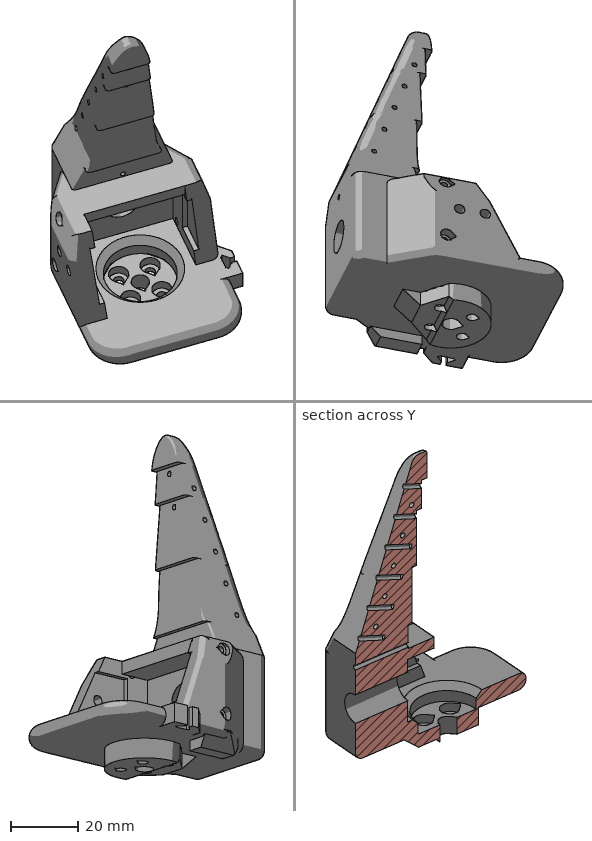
import cadquery as cq
import math

BASE_LENGTH = 65.2
BACK_HALF = 16.0
WIDE_HALF = 24.0
FLARE_START_X = 10.0
FLARE_END_X = 22.0
PLATE_T = 6.0
BODY_TOP = 32.0
EDGE_R = 3.0
PLATE_EDGE_R = 2.99
FLARE_R = 8.0
FRONT_R = 10.0

ROOF_FRONT_X = 30.0
ROOF_T = 4.0
CAVITY_BACK_X = 20.0
TAPER_START_Z = 23.3
TAPER_ANGLE = math.radians(15)
FRONT_WALL_TOP_X = 36.8
FRONT_WALL_FOOT_X = 49.8
REAR_WALL_TOP_X = ROOF_FRONT_X
REAR_WALL_FOOT_X = 39.4

TIP_Z = 99.33
SLOPE_START_Z = 38.3
SLOPE_ANGLE = math.radians(20)
FINGER_FLANK = [(12.0, 40.0), (9.7, 51.6), (8.1, 70.6), (6.5, 86.5), (4.3, 95.7)]
FINGER_ROOT_Y, FINGER_ROOT_Z = FINGER_FLANK[0]
STEPS = [(FINGER_ROOT_Z, 20.2), (60.0, 21.7), (79.5, 23.4), (89.5, 25.3), (TIP_Z, 27.4)]
STEP_EDGE_R = 1.0

PIN_D = 1.5
PIN_PITCH = 10.0
BACK_PIN_COUNT = 6
FIRST_BACK_PIN_Z = 42.9
SIDE_PIN_COUNT = 5
FIRST_SIDE_PIN_X = 7.8
FIRST_SIDE_PIN_Z = 44.7
LOW_PIN_Z = 33.2
BACK_PIN_DEPTH = 10.0

PORT_D = 10.0
PORT_Z = 18.5
WALL_HOLE_D = 3.2
WALL_HOLE_XS = (30.2, 38.2)
SCREW_D = 2.2
SCREW_HEAD_D = 4.0
SCREW_HEAD_DEPTH = 3.0
SCREW_ZS = (28.5, 8.1)
FRONT_SCREW_X = 26.3
REAR_SCREW_X = 23.1
SLOT_DEPTH = 1.6
SLOT_START_X = 28.0
SLOT_Z = (10.6, 27.0)
FRONT_SLOT_END_X = 47.5
REAR_SLOT_END_X = 38.3

POCKET_X = 35.0
BOSS_R = 12.0
BOSS_BOTTOM = -6.1
LEAD_BOTTOM = -4.8
LEAD_HALF = 4.5
LEAD_FACE_X = 24.1
LEAD_RAMP_X = 18.6
POCKET_R = 11.0
POCKET_TOP_R = 13.2
POCKET_FLOOR = 0.0
CENTER_HOLE_D = 5.4
MOUNT_HOLE_D = 3.2
MOUNT_HEAD_D = 6.0
MOUNT_HEAD_DEPTH = 3.0
MOUNT_OFFSET = 5.0

CLIP_Y = 28.0
CLIP_BACK_X = 34.0
CLIP_FRONT_X = 47.3
CLIP_ROOT_Y = 20.7
CLIP_SLOT_X = 41.3
CLIP_NECK_Y = 26.5
CLIP_NECK_HALF = 0.9
CLIP_CORNER = 0.6
CLIP_WIDE_HALF = 2.7
RAIL_BOTTOM = -3.2
RAIL_BOTTOM_Y = 21.0
RAIL_START_X = 14.9
RAIL_END_X = 31.0

BIG = 200.0

WALL_ENDS = (
    (FRONT_WALL_TOP_X, FRONT_WALL_FOOT_X, (-BIG, 0)),
    (REAR_WALL_TOP_X, REAR_WALL_FOOT_X, (0, BIG)),
)


def block(x, y, z):
    """Box from three (low, high) ranges."""
    return (
        cq.Workplane("XY")
        .box(x[1] - x[0], y[1] - y[0], z[1] - z[0], centered=False)
        .translate((x[0], y[0], z[0]))
    )


def xz_prism(points, y_low, y_high):
    """Polygon in XZ extruded from y_low to y_high."""
    plane = cq.Workplane("XZ", origin=(0, y_high, 0))
    return plane.polyline(points).close().extrude(y_high - y_low)


def mirrored(points):
    """Close a +Y half outline with its mirror image."""
    return points + [(u, -v) for u, v in reversed(points)]


def rod(start, direction, diameter, length):
    """Round pin used to cut a hole."""
    return cq.Workplane(
        cq.Solid.makeCylinder(diameter / 2, length, cq.Vector(*start), cq.Vector(*direction))
    )


def together(solids):
    """Gather separate cutting solids so that one cut removes them all."""
    return cq.Workplane(cq.Compound.makeCompound([solid.val() for solid in solids]))


def teardrop(plane, u, v, diameter, depth):
    """Round hole with a 45 degree point toward +X."""
    r = diameter / 2
    k = r / math.sqrt(2)
    return (
        plane.moveTo(u + k, v + k)
        .threePointArc((u - r, v), (u + k, v - k))
        .lineTo(u + r * math.sqrt(2), v)
        .close()
        .extrude(depth)
    )


def round_flare_corners(solid):
    """Round the vertical edges where the flare meets the wide sides."""
    near_corner = cq.selectors.BoxSelector((FLARE_END_X - 1, -BIG, -BIG), (FLARE_END_X + 1, BIG, BIG))
    return solid.edges("|Z").edges(near_corner).fillet(FLARE_R)


def base_prism(z_low, z_high):
    """Base plan with sharp corners, extruded between two heights."""
    plan = mirrored(
        [(0, BACK_HALF), (FLARE_START_X, BACK_HALF), (FLARE_END_X, WIDE_HALF), (BASE_LENGTH, WIDE_HALF)]
    )
    return cq.Workplane("XY", origin=(0, 0, z_low)).polyline(plan).close().extrude(z_high - z_low)


def make_plate():
    plate = base_prism(0, PLATE_T)
    plate = plate.edges("|Z and <X").fillet(EDGE_R)
    plate = plate.edges("|Z and >X").fillet(FRONT_R)
    plate = round_flare_corners(plate)
    return plate.faces("<Z or >Z").edges().fillet(PLATE_EDGE_R)


def make_back_block():
    back = block((0, CAVITY_BACK_X), (-BACK_HALF, BACK_HALF), (EDGE_R, BODY_TOP))
    return back.edges("|Z and <X").fillet(EDGE_R)


def make_side_body():
    """Flared housing with tapered flanks and sloped wall ends."""
    flare_slope = (WIDE_HALF - BACK_HALF) / (FLARE_END_X - FLARE_START_X)
    hidden_x = FLARE_START_X / 2
    hidden_y = BACK_HALF - flare_slope * (FLARE_START_X - hidden_x)
    plan = mirrored([(hidden_x, hidden_y), (FLARE_END_X, WIDE_HALF), (BASE_LENGTH, WIDE_HALF)])
    body = cq.Workplane("XY", origin=(0, 0, EDGE_R)).polyline(plan).close().extrude(BODY_TOP - EDGE_R)
    body = round_flare_corners(body)

    taper = (BODY_TOP - TAPER_START_Z) * math.tan(TAPER_ANGLE)
    section = [(WIDE_HALF, EDGE_R), (WIDE_HALF, TAPER_START_Z), (WIDE_HALF - taper, BODY_TOP)]
    section += [(-y, z) for y, z in reversed(section)]
    body = body.intersect(cq.Workplane("YZ").polyline(section).close().extrude(BASE_LENGTH))

    for top_x, foot_x, y_range in WALL_ENDS:
        slope = (foot_x - top_x) / (BODY_TOP - PLATE_T)
        beyond = [
            (top_x, BODY_TOP),
            (foot_x + slope * (PLATE_T - EDGE_R), EDGE_R),
            (BIG, EDGE_R),
            (BIG, BODY_TOP),
        ]
        body = body.cut(xz_prism(beyond, *y_range))
    return round_outer_edges(body)


def round_outer_edges(body):
    """Round the outer edges of the top and of both sloped wall ends."""
    chosen = []
    for top_x, _, y_range in WALL_ENDS:
        side = math.copysign(1, sum(y_range))
        outer_y = sorted((side * BACK_HALF, side * BIG))
        top_edges = cq.selectors.BoxSelector((0, outer_y[0], 0), (BIG, outer_y[1], BIG))
        slope_edges = cq.selectors.BoxSelector(
            (top_x + 0.5, outer_y[0], PLATE_T), (BIG, outer_y[1], BODY_TOP - 1)
        )
        chosen += body.faces(">Z").edges(top_edges).vals()
        chosen += body.edges(slope_edges).vals()
    return body.newObject(chosen).fillet(EDGE_R)


def hollow_housing(part):
    """Open the housing toward +X and leave the roof over its back."""
    inner_y = (-BACK_HALF, BACK_HALF)
    part = part.cut(block((CAVITY_BACK_X, ROOF_FRONT_X), inner_y, (PLATE_T, BODY_TOP - ROOF_T)))
    part = part.cut(block((ROOF_FRONT_X, BASE_LENGTH), inner_y, (PLATE_T, BODY_TOP + 1)))
    front_slot_y = (-BACK_HALF - SLOT_DEPTH, -BACK_HALF)
    rear_slot_y = (BACK_HALF, BACK_HALF + SLOT_DEPTH)
    part = part.cut(block((SLOT_START_X, FRONT_SLOT_END_X), front_slot_y, SLOT_Z))
    return part.cut(block((SLOT_START_X, REAR_SLOT_END_X), rear_slot_y, SLOT_Z))


def drill_housing(part):
    """Rear port, wall holes and recessed screws."""
    part = part.cut(rod((0, 0, PORT_Z), (1, 0, 0), PORT_D, CAVITY_BACK_X))
    for x in WALL_HOLE_XS:
        part = part.cut(rod((x, -WIDE_HALF, PORT_Z), (0, 1, 0), WALL_HOLE_D, WIDE_HALF - BACK_HALF))
    for side, x in ((-1, FRONT_SCREW_X), (1, REAR_SCREW_X)):
        outside = cq.Plane((0, side * WIDE_HALF, 0), (1, 0, 0), (0, -side, 0))
        for z in SCREW_ZS:
            v = side * z
            part = part.cut(teardrop(cq.Workplane(outside), x, v, SCREW_HEAD_D, SCREW_HEAD_DEPTH))
            part = part.cut(rod((x, side * WIDE_HALF, z), (0, -side, 0), SCREW_D, WIDE_HALF - BACK_HALF))
    return part


def finger_blank(length):
    """Finger outline seen along X, extruded from X = 0."""
    run = BACK_HALF - FINGER_ROOT_Y
    rise = FINGER_ROOT_Z - BODY_TOP
    far_flank = [(-y, z) for y, z in reversed(FINGER_FLANK)]
    return (
        cq.Workplane("YZ")
        .moveTo(-BACK_HALF, BODY_TOP)
        .lineTo(BACK_HALF, BODY_TOP)
        .lineTo(FINGER_ROOT_Y, FINGER_ROOT_Z)
        .spline(
            FINGER_FLANK[1:] + [(0, TIP_Z)] + far_flank,
            tangents=[(-run, rise), (-run, -rise)],
            includeCurrent=True,
        )
        .close()
        .extrude(length)
    )


def make_storey(z_low, z_high, x_limit):
    """One storey of the finger, sloped and rounded at the back and rounded at its +X edges."""
    slope_rise = TIP_Z - SLOPE_START_Z
    slope_run = slope_rise * math.tan(SLOPE_ANGLE)
    behind = [(0, SLOPE_START_Z), (slope_run, TIP_Z), (0, TIP_Z)]
    slope_normal = cq.Vector(-math.cos(SLOPE_ANGLE), 0, math.sin(SLOPE_ANGLE))

    storey = finger_blank(x_limit).intersect(block((0, BIG), (-BIG, BIG), (BODY_TOP, z_high)))
    storey = storey.cut(xz_prism(behind, -BIG, BIG))
    front = storey.faces(">X").edges("not |Y").vals()
    storey = storey.newObject(front).fillet(STEP_EDGE_R)
    back = storey.faces("<X").edges("not |Y").vals()
    sloped = storey.faces(cq.selectors.DirectionMinMaxSelector(slope_normal)).edges("not |Y").vals()
    storey = storey.newObject(back + sloped).fillet(EDGE_R)
    return storey.intersect(block((0, BIG), (-BIG, BIG), (z_low, z_high)))


def make_finger():
    floors = [BODY_TOP] + [z_high for z_high, _ in STEPS[:-1]]
    storeys = [make_storey(z_low, *step) for z_low, step in zip(floors, STEPS)]
    finger = storeys.pop()
    while storeys:
        finger = finger.union(storeys.pop())
    return finger


def drill_finger(finger):
    """Row of holes square to the slope, row of cross holes and one low straight hole."""
    run = PIN_PITCH * math.sin(SLOPE_ANGLE)
    rise = PIN_PITCH * math.cos(SLOPE_ANGLE)
    inward = (math.cos(SLOPE_ANGLE), 0, -math.sin(SLOPE_ANGLE))
    first_x = (FIRST_BACK_PIN_Z - SLOPE_START_Z) * math.tan(SLOPE_ANGLE)
    pins = [rod((0, 0, LOW_PIN_Z), (1, 0, 0), PIN_D, STEPS[0][1])]
    for i in range(BACK_PIN_COUNT):
        mouth = (first_x + i * run, 0, FIRST_BACK_PIN_Z + i * rise)
        pins.append(rod(mouth, inward, PIN_D, BACK_PIN_DEPTH))
    for i in range(SIDE_PIN_COUNT):
        start = (FIRST_SIDE_PIN_X + i * run, -BACK_HALF, FIRST_SIDE_PIN_Z + i * rise)
        pins.append(rod(start, (0, 1, 0), PIN_D, 2 * BACK_HALF))
    return finger.cut(together(pins))


def make_boss():
    """Round boss with an angled lead-in and a narrow ramp toward -X."""
    offset = POCKET_X - LEAD_FACE_X + LEAD_HALF
    lead_y = (offset + math.sqrt(2 * BOSS_R**2 - offset**2)) / 2
    lead_end_x = LEAD_FACE_X + lead_y - LEAD_HALF
    lead_plan = mirrored(
        [
            (LEAD_RAMP_X, LEAD_HALF),
            (LEAD_FACE_X, LEAD_HALF),
            (lead_end_x, lead_y),
            (POCKET_X, lead_y),
        ]
    )
    root_z = PLATE_T / 2
    root = cq.Workplane("XY", origin=(0, 0, root_z))
    height = root_z - BOSS_BOTTOM
    boss = root.center(POCKET_X, 0).circle(BOSS_R).extrude(-height)
    boss = boss.cut(block((0, lead_end_x), (-BIG, BIG), (BOSS_BOTTOM, root_z)))
    boss = boss.union(root.polyline(lead_plan).close().extrude(-height))
    side_outline = [
        (LEAD_RAMP_X, root_z),
        (LEAD_RAMP_X, 0),
        (LEAD_FACE_X, LEAD_BOTTOM),
        (lead_end_x, LEAD_BOTTOM),
        (lead_end_x + LEAD_BOTTOM - BOSS_BOTTOM, BOSS_BOTTOM),
        (BASE_LENGTH, BOSS_BOTTOM),
        (BASE_LENGTH, root_z),
    ]
    return boss.intersect(xz_prism(side_outline, -BIG, BIG))


def cut_pocket(part):
    """Chamfered round pocket with a centre hole and four recessed mounting holes."""
    chamfer = POCKET_TOP_R - POCKET_R
    pocket = cq.Workplane("XY", origin=(POCKET_X, 0, POCKET_FLOOR)).circle(POCKET_R)
    part = part.cut(pocket.extrude(PLATE_T - POCKET_FLOOR))
    cone = cq.Solid.makeCone(
        POCKET_R, POCKET_TOP_R, chamfer, cq.Vector(POCKET_X, 0, PLATE_T - chamfer), cq.Vector(0, 0, 1)
    )
    part = part.cut(cq.Workplane(cone))

    floor = cq.Workplane("XY", origin=(0, 0, POCKET_FLOOR))
    through = BOSS_BOTTOM - POCKET_FLOOR
    part = part.cut(teardrop(floor, POCKET_X, 0, CENTER_HOLE_D, through))
    for x in (POCKET_X - MOUNT_OFFSET, POCKET_X + MOUNT_OFFSET):
        for y in (-MOUNT_OFFSET, MOUNT_OFFSET):
            part = part.cut(teardrop(floor, x, y, MOUNT_HEAD_D, -MOUNT_HEAD_DEPTH))
            part = part.cut(teardrop(floor, x, y, MOUNT_HOLE_D, through))
    return part


def make_clip():
    """Flat tab on the +Y edge with a dovetail cable slot."""
    reach = CLIP_Y - WIDE_HALF
    root = CLIP_ROOT_Y
    outline = [
        (CLIP_BACK_X, root),
        (CLIP_BACK_X, WIDE_HALF),
        (CLIP_BACK_X + reach, CLIP_Y),
        (CLIP_FRONT_X, CLIP_Y),
        (CLIP_FRONT_X, root),
    ]
    slot = [
        (CLIP_NECK_HALF, CLIP_Y),
        (CLIP_NECK_HALF, CLIP_NECK_Y),
        (CLIP_WIDE_HALF, CLIP_NECK_Y - CLIP_WIDE_HALF + CLIP_NECK_HALF),
        (CLIP_WIDE_HALF - CLIP_CORNER, WIDE_HALF),
    ]
    slot += [(-x, y) for x, y in reversed(slot)]
    slot = [(CLIP_SLOT_X + x, y) for x, y in slot]
    tab = cq.Workplane("XY").polyline(outline).close().extrude(PLATE_T)
    return tab.cut(cq.Workplane("XY").polyline(slot).close().extrude(PLATE_T))


def make_rail():
    """Rail under the +Y edge: ramp at its -X end, slanted outer side."""
    top = PLATE_T / 2
    side_outline = [
        (RAIL_START_X, top),
        (RAIL_START_X, 0),
        (RAIL_START_X - RAIL_BOTTOM, RAIL_BOTTOM),
        (RAIL_END_X, RAIL_BOTTOM),
        (RAIL_END_X, top),
    ]
    end_outline = [
        (BACK_HALF, top),
        (BACK_HALF, RAIL_BOTTOM),
        (RAIL_BOTTOM_Y, RAIL_BOTTOM),
        (WIDE_HALF, EDGE_R),
    ]
    rail = xz_prism(side_outline, BACK_HALF, WIDE_HALF)
    rail = rail.intersect(cq.Workplane("YZ").polyline(end_outline).close().extrude(BASE_LENGTH))
    return rail.intersect(base_prism(RAIL_BOTTOM, top))


def make_part():
    part = make_plate().union(make_back_block()).union(make_side_body())
    part = part.union(make_boss())
    part = hollow_housing(part)
    part = cut_pocket(part)
    part = drill_housing(part)
    part = part.union(make_clip()).union(make_rail())
    return part.union(drill_finger(make_finger()))


result = make_part()